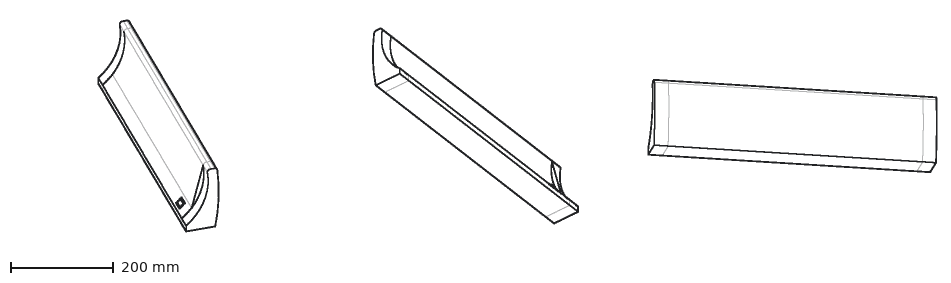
import cadquery as cq
import math

length = 560.0
depth = 67.0
height = 135.0
cap_length = 27.5

base_depth = 60.0
back_bulge_height = 76.0
back_top_depth = 64.5
top_front = 51.0
top_back = 58.0
rounding_radius = 7.0
back_top_height = height - rounding_radius
lip_depth = 43.5
lip_height = 128.0
nose_height = 13.5
hollow_radius = 122.0

strip_top_height = 33.5
strip_top_depth = 20.0

web_thickness = 0.5

switch_center_x = 494.0
frame_length = 22.0
frame_width = 15.5
frame_height = 0.5
frame_embed = 1.5
rocker_length = 18.0
rocker_width = 10.0
rocker_peak_offset = 4.5
rocker_peak_height = 4.0
rocker_low_height = 1.0
rocker_end_radius = 11.0
rocker_sag = 0.5

chord_y = lip_depth
chord_z = lip_height - nose_height
chord = math.hypot(chord_y, chord_z)
center_offset = math.sqrt(hollow_radius ** 2 - (chord / 2) ** 2)
hollow_y = lip_depth / 2 - center_offset * chord_z / chord
hollow_z = (lip_height + nose_height) / 2 + center_offset * chord_y / chord


def hollow_point(z):
    """Point (Y, Z) of the hollow's arc at height z."""
    return (hollow_y + math.sqrt(hollow_radius ** 2 - (z - hollow_z) ** 2), z)


lip = (lip_depth, lip_height)
nose = (0, nose_height)
strip_top = (strip_top_depth, strip_top_height)


def outline_to_lip(x):
    """Outline at x from the nose round the base, back and top to the lip."""
    return (
        cq.Workplane("YZ", origin=(x, 0, 0))
        .moveTo(*nose)
        .lineTo(0, 0)
        .lineTo(base_depth, 0)
        .threePointArc((depth, back_bulge_height), (back_top_depth, back_top_height))
        .radiusArc((top_back, height), -rounding_radius)
        .lineTo(top_front, height)
        .radiusArc(lip, -rounding_radius)
    )


def end_cap(x):
    """End section whose hollow is one arc from lip to nose."""
    arc_middle = hollow_point((lip_height + nose_height) / 2)
    return outline_to_lip(x).threePointArc(arc_middle, nose).close().extrude(cap_length)


def middle_body():
    """Middle section: the hollow ends in a flat sloped strip."""
    arc_middle = hollow_point((lip_height + strip_top_height) / 2)
    outline = outline_to_lip(cap_length).threePointArc(arc_middle, strip_top).close()
    return outline.extrude(length - 2 * cap_length)


def web():
    """Thin plate between the hollow's arc and the chord across it."""
    arc_middle = hollow_point((lip_height + strip_top_height) / 2)
    return (
        cq.Workplane("YZ", origin=(length - cap_length, 0, 0))
        .moveTo(*lip)
        .threePointArc(arc_middle, strip_top)
        .close()
        .extrude(web_thickness)
    )


def switch():
    """Frame and wedge-shaped rocker, standing square on the sloped strip."""
    strip_rise = strip_top[1] - nose[1]
    center = (switch_center_x, strip_top[0] / 2, (strip_top[1] + nose[1]) / 2)
    slope = cq.Plane(origin=center, xDir=(1, 0, 0), normal=(0, -strip_rise, strip_top[0]))
    frame = (
        cq.Workplane(slope)
        .workplane(offset=-frame_embed)
        .rect(frame_length, frame_width)
        .extrude(frame_embed + frame_height)
    )
    left = -rocker_length / 2
    right = rocker_length / 2
    ridge = left + rocker_peak_offset
    top_middle = ((ridge + right) / 2, (rocker_peak_height + rocker_low_height) / 2 - rocker_sag)
    side = cq.Plane(origin=center, xDir=(1, 0, 0), normal=-slope.yDir)
    rocker = (
        cq.Workplane(side)
        .moveTo(left, 0)
        .radiusArc((ridge, rocker_peak_height), rocker_end_radius)
        .threePointArc(top_middle, (right, rocker_low_height))
        .lineTo(right, 0)
        .close()
        .extrude(rocker_width / 2, both=True)
    )
    return frame.union(rocker)


result = middle_body()
for part in (end_cap(0), end_cap(length - cap_length), web(), switch()):
    result = result.union(part, clean=False)